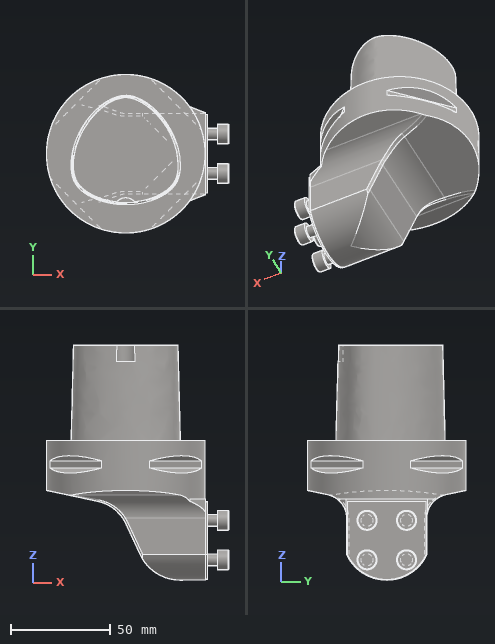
import cadquery as cq
import math

TOTAL_HEIGHT = 118.3
SHANK_HEIGHT = 47.9
BOTTOM_Z = SHANK_HEIGHT - TOTAL_HEIGHT
OVERSIZE = 59.2

SHANK_RADIUS = 27.6
SHANK_LOBE = 1.9
SHANK_TAPER = 1 / 40
SHANK_POINTS = 24
NOTCH_RADIUS = 5.8
NOTCH_CENTER_Y = -27.9
NOTCH_DEPTH = 8.3

FLANGE_RADIUS = 80.0 / 2
RIM_Z = -25.2
UNDERSIDE_ANGLE = math.radians(12)
GROOVE_Z = -12.1
GROOVE_DEPTH = 4.5
GROOVE_FLOOR = 3.5
GROOVE_FLANK = math.radians(30)

HEAD_HALF_WIDTH = 20.2
DOME_RADIUS = 22.2
SIDE_FILLET = 12.0
BACK_FILLET = 20.0
BACK_CORNER_X = -4.3
BACK_ANGLE = math.radians(65)
BACK_CHAMFER = 1.2
HEAD_FACE_X = 40.2
HEAD_TOP_Z = -29.6
SHOULDER_X = 32.4
SHOULDER_HALF_WIDTH = 23.7
SHOULDER_FACE_HALF_WIDTH = 20.6

PAD_FACE_X = 41.2
PAD_TOP_Z = -30.8
PAD_INSET = 0.4
SCREW_SPACING = 19.9
SCREW_CENTER_Z = -50.2
SCREW_DIAMETER = 6.0
HEAD_DIAMETER = 10.0
SCREW_HEAD_X = 46.1
SCREW_END_X = 52.0
SCREW_CHAMFER = 0.5

DOME_CENTER_Z = BOTTOM_Z + DOME_RADIUS
DOME_START_Z = DOME_CENTER_Z - math.sqrt(DOME_RADIUS**2 - HEAD_HALF_WIDTH**2)


def underside_z(inset):
    """Height of the sloping underside at a distance inward from the rim."""
    return RIM_Z - inset * math.tan(UNDERSIDE_ANGLE)


def shank_section(radius):
    """Three-lobed outline, one lobe toward +Y, from its support function."""

    def point(angle):
        phase = 3 * (angle - math.pi / 2)
        reach = radius + SHANK_LOBE * math.cos(phase)
        slope = -3 * SHANK_LOBE * math.sin(phase)
        return (
            reach * math.cos(angle) - slope * math.sin(angle),
            reach * math.sin(angle) + slope * math.cos(angle),
        )

    return [point(2 * math.pi * step / SHANK_POINTS) for step in range(SHANK_POINTS)]


def make_shank():
    top_radius = SHANK_RADIUS - SHANK_HEIGHT * SHANK_TAPER
    shank = (
        cq.Workplane("XY")
        .spline(shank_section(SHANK_RADIUS), periodic=True)
        .close()
        .workplane(offset=SHANK_HEIGHT)
        .spline(shank_section(top_radius), periodic=True)
        .close()
        .loft()
    )
    notch = (
        cq.Workplane("XY", origin=(0, NOTCH_CENTER_Y, SHANK_HEIGHT))
        .circle(NOTCH_RADIUS)
        .extrude(-NOTCH_DEPTH)
    )
    return shank.cut(notch)


def side_prism():
    """Section across Y, run along X: flange, filleted neck, walls and dome."""
    w = HEAD_HALF_WIDTH
    neck_z = underside_z(FLANGE_RADIUS - w)
    rim_beyond_z = underside_z(FLANGE_RADIUS - OVERSIZE)
    prism = (
        cq.Workplane("YZ", origin=(-OVERSIZE, 0, 0))
        .moveTo(-OVERSIZE, 0)
        .lineTo(-OVERSIZE, rim_beyond_z)
        .lineTo(-w, neck_z)
        .lineTo(-w, DOME_START_Z)
        .threePointArc((0, BOTTOM_Z), (w, DOME_START_Z))
        .lineTo(w, neck_z)
        .lineTo(OVERSIZE, rim_beyond_z)
        .lineTo(OVERSIZE, 0)
        .close()
        .extrude(2 * OVERSIZE)
    )
    for y in (-w, w):
        neck_edge = cq.selectors.NearestToPointSelector((0, y, neck_z))
        prism = prism.edges(neck_edge).fillet(SIDE_FILLET)
    return prism


def back_prism():
    """Section along X, run across Y: underside, leaning back and rounded toe."""
    corner_z = underside_z(FLANGE_RADIUS + BACK_CORNER_X)
    toe_x = BACK_CORNER_X + (corner_z - DOME_START_Z) / math.tan(BACK_ANGLE)
    arc_center_x = toe_x + HEAD_HALF_WIDTH
    half_turn = math.asin(HEAD_HALF_WIDTH / DOME_RADIUS) / 2
    arc_middle = (
        arc_center_x - DOME_RADIUS * math.sin(half_turn),
        DOME_CENTER_Z - DOME_RADIUS * math.cos(half_turn),
    )
    prism = (
        cq.Workplane("XZ", origin=(0, OVERSIZE, 0))
        .moveTo(-OVERSIZE, 0)
        .lineTo(-OVERSIZE, underside_z(FLANGE_RADIUS - OVERSIZE))
        .lineTo(BACK_CORNER_X, corner_z)
        .lineTo(toe_x, DOME_START_Z)
        .threePointArc(arc_middle, (arc_center_x, BOTTOM_Z))
        .lineTo(OVERSIZE, BOTTOM_Z)
        .lineTo(OVERSIZE, 0)
        .close()
        .extrude(2 * OVERSIZE)
    )
    corner_edge = cq.selectors.NearestToPointSelector((BACK_CORNER_X, 0, corner_z))
    return prism.edges(corner_edge).fillet(BACK_FILLET)


def make_body():
    """Flange and head: a plan outline trimmed by the two crossing prisms."""
    flange = cq.Workplane("XY").circle(FLANGE_RADIUS).extrude(BOTTOM_Z)
    shoulder = (
        cq.Workplane("XY", origin=(0, 0, HEAD_TOP_Z))
        .moveTo(0, -SHOULDER_HALF_WIDTH)
        .lineTo(SHOULDER_X, -SHOULDER_HALF_WIDTH)
        .lineTo(HEAD_FACE_X, -SHOULDER_FACE_HALF_WIDTH)
        .lineTo(HEAD_FACE_X, SHOULDER_FACE_HALF_WIDTH)
        .lineTo(SHOULDER_X, SHOULDER_HALF_WIDTH)
        .lineTo(0, SHOULDER_HALF_WIDTH)
        .close()
        .extrude(BOTTOM_Z - HEAD_TOP_Z)
    )
    trimmed = flange.union(shoulder).intersect(side_prism()).intersect(back_prism())

    corner_z = underside_z(FLANGE_RADIUS + BACK_CORNER_X)
    middle_z = DOME_START_Z + (corner_z - DOME_START_Z) / 3
    middle_x = BACK_CORNER_X + (corner_z - middle_z) / math.tan(BACK_ANGLE)
    for side in (-1, 1):
        edge = cq.selectors.NearestToPointSelector((middle_x, side * HEAD_HALF_WIDTH, middle_z))
        trimmed = trimmed.edges(edge).chamfer(BACK_CHAMFER)
    return trimmed


def make_groove():
    """Flared gripper groove across the +X side of the flange."""
    floor_x = FLANGE_RADIUS - GROOVE_DEPTH
    half_floor = GROOVE_FLOOR / 2
    half_mouth = half_floor + (OVERSIZE - floor_x) * math.tan(GROOVE_FLANK)
    return (
        cq.Workplane("XZ", origin=(0, OVERSIZE, GROOVE_Z))
        .moveTo(floor_x, -half_floor)
        .lineTo(OVERSIZE, -half_mouth)
        .lineTo(OVERSIZE, half_mouth)
        .lineTo(floor_x, half_floor)
        .close()
        .extrude(2 * OVERSIZE)
    )


def make_pad():
    """Thin pad on the head face, following the walls and dome."""
    w = HEAD_HALF_WIDTH - PAD_INSET
    return (
        cq.Workplane("YZ", origin=(HEAD_FACE_X, 0, 0))
        .moveTo(-w, PAD_TOP_Z)
        .lineTo(-w, DOME_START_Z)
        .threePointArc((0, BOTTOM_Z + PAD_INSET), (w, DOME_START_Z))
        .lineTo(w, PAD_TOP_Z)
        .close()
        .extrude(PAD_FACE_X - HEAD_FACE_X)
    )


def make_screws():
    """Four cap screws on a square pattern."""

    def cylinders(start_x, end_x, diameter):
        return (
            cq.Workplane("YZ", origin=(start_x, 0, SCREW_CENTER_Z))
            .rarray(SCREW_SPACING, SCREW_SPACING, 2, 2)
            .circle(diameter / 2)
            .extrude(end_x - start_x)
        )

    heads = cylinders(SCREW_HEAD_X, SCREW_END_X, HEAD_DIAMETER)
    heads = heads.faces(">X").chamfer(SCREW_CHAMFER)
    return cylinders(HEAD_FACE_X, SCREW_HEAD_X, SCREW_DIAMETER).union(heads)


result = make_body()
for angle in (45, 135, 225, 315):
    result = result.cut(make_groove().rotate((0, 0, 0), (0, 0, 1), angle))
result = result.union(make_shank()).union(make_pad()).union(make_screws())